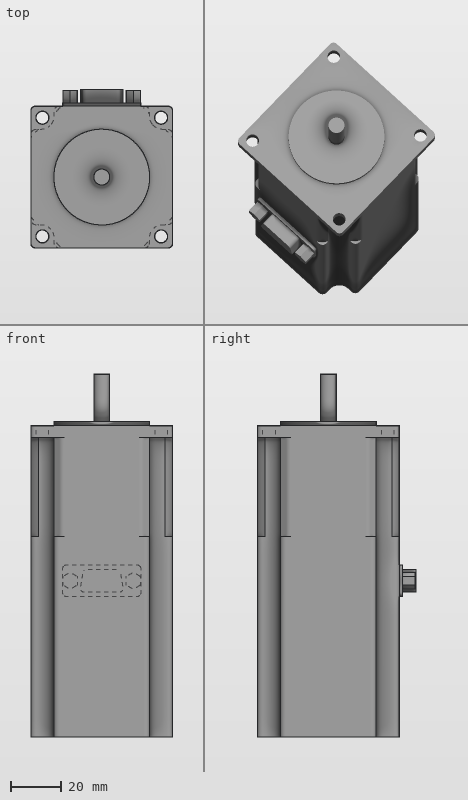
import cadquery as cq
import math

total_height = 144.1
width = 56.3
half_width = width / 2
shaft_diameter = 6.3
shaft_length = 18.7
pilot_diameter = 38.0
pilot_height = 1.7
flange_thickness = 4.8
flange_corner_radius = 1.9
hole_diameter = 5.0
hole_pitch = 47.1

pilot_top = total_height - shaft_length
flange_top = pilot_top - pilot_height
body_height = flange_top - flange_thickness

notch_size = 9.2
notch_inner_radius = 5.2
notch_lip_radius = 2.2
relief_length = 39.2
relief_setback = 12.2
relief_edge_radius = 2.3

connector_z = 62.1
plate_width = 31.1
plate_height = 12.5
plate_thickness = 1.3
plate_corner_radius = 1.6
shell_top_width = 14.4
shell_height = 9.1
shell_projection = 6.6
shell_corner_radius = 1.6
shell_side_angle = 10.0
standoff_across_flats = 5.8
standoff_spacing = 25.1
standoff_projection = 6.2


def make_flange():
    """Square mounting flange with rounded corners and four through holes."""
    return (
        cq.Workplane("XY", origin=(0, 0, body_height))
        .rect(width, width)
        .extrude(flange_thickness)
        .edges("|Z")
        .fillet(flange_corner_radius)
        .faces(">Z")
        .workplane()
        .rect(hole_pitch, hole_pitch, forConstruction=True)
        .vertices()
        .hole(hole_diameter)
    )


def corner_copies(cutter):
    """Repeat a cutter made for the (-X, -Y) corner at all four corners."""
    return [cutter.rotate((0, 0, 0), (0, 0, 1), 90 * turn) for turn in range(4)]


def make_notch():
    """Square notch with a rounded inner corner and convex rounded lips."""
    lip_end = notch_size + notch_lip_radius
    arc_start = notch_size - notch_inner_radius
    return (
        cq.Workplane("XY", origin=(-half_width, -half_width, 0))
        .lineTo(lip_end, 0)
        .radiusArc((notch_size, notch_lip_radius), notch_lip_radius)
        .lineTo(notch_size, arc_start)
        .radiusArc((arc_start, notch_size), -notch_inner_radius)
        .lineTo(notch_lip_radius, notch_size)
        .radiusArc((0, lip_end), notch_lip_radius)
        .close()
        .extrude(body_height)
    )


def make_relief():
    """Diagonal relief just under the flange, blended into both side faces."""
    tangent_length = relief_edge_radius * math.tan(math.radians(22.5))
    face_end = relief_setback + tangent_length
    slope_step = tangent_length * math.sqrt(0.5)
    slope_end = relief_setback - slope_step
    return (
        cq.Workplane("XY", origin=(-half_width, -half_width, body_height - relief_length))
        .lineTo(face_end, 0)
        .radiusArc((slope_end, slope_step), relief_edge_radius)
        .lineTo(slope_step, slope_end)
        .radiusArc((0, face_end), relief_edge_radius)
        .close()
        .extrude(relief_length)
    )


def make_body():
    """Square motor body with stepped notches along its four corners."""
    body = cq.Workplane("XY").rect(width, width).extrude(body_height)
    for cutter in corner_copies(make_notch()) + corner_copies(make_relief()):
        body = body.cut(cutter)
    return body


def cylinder_up_to(diameter, top):
    """Cylinder on the motor axis from the flange face up to a given height."""
    return cq.Workplane("XY", origin=(0, 0, flange_top)).circle(diameter / 2).extrude(top - flange_top)


def make_connector():
    """Mounting plate, D-shaped shell and two hexagonal standoffs."""
    face = cq.Workplane(cq.Plane((0, half_width, connector_z), xDir=(-1, 0, 0), normal=(0, 1, 0)))

    plate = face.rect(plate_width, plate_height).extrude(plate_thickness)
    plate = plate.edges("|Y").fillet(plate_corner_radius)

    half_top = shell_top_width / 2
    half_bottom = half_top + shell_height * math.tan(math.radians(shell_side_angle))
    half_height = shell_height / 2
    shell = (
        face.polyline([
            (-half_top, half_height),
            (half_top, half_height),
            (half_bottom, -half_height),
            (-half_bottom, -half_height),
        ])
        .close()
        .extrude(shell_projection)
        .edges("|Y")
        .fillet(shell_corner_radius)
    )

    across_corners = standoff_across_flats / math.cos(math.radians(30))
    standoffs = (
        face.transformed(rotate=(0, 0, 90))
        .pushPoints([(0, -standoff_spacing / 2), (0, standoff_spacing / 2)])
        .polygon(6, across_corners)
        .extrude(standoff_projection)
    )
    return plate.union(shell).union(standoffs)


result = (
    make_body()
    .union(make_flange())
    .union(cylinder_up_to(pilot_diameter, pilot_top))
    .union(cylinder_up_to(shaft_diameter, total_height))
    .union(make_connector())
)